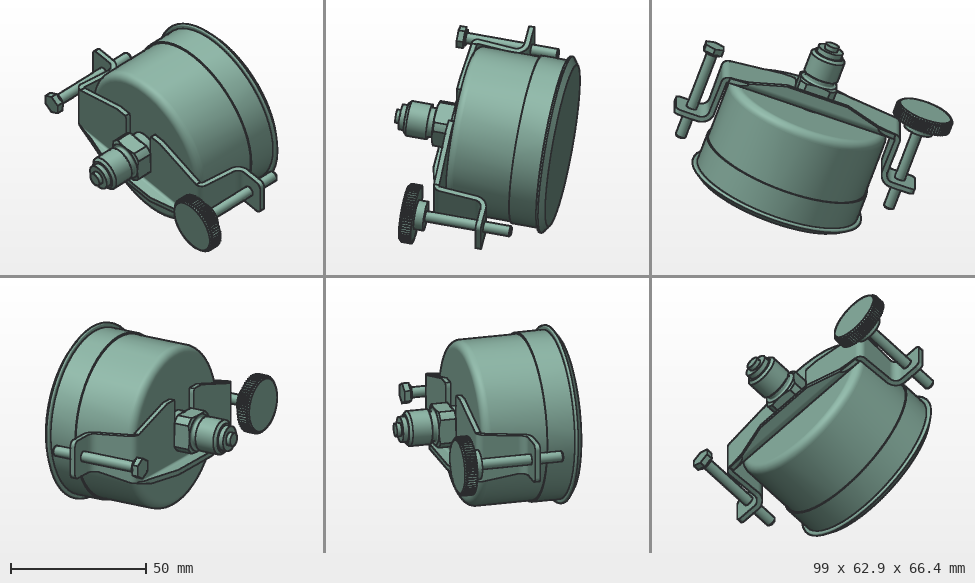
import cadquery as cq
import math


case_radius = 62.0 / 2
ring_radius = 63.2 / 2
bezel_radius = 66.4 / 2
bezel_face_radius = 30.4
bezel_back_round = 0.6
case_back_round = 3.1
ring_back_y = 24.55
bezel_back_y = 35.0
bezel_rim_y = 35.9
face_y = 38.0

collar_radius = 13.5 / 2
square_width = 14.1
square_corner_radius = 8.4
square_chamfer_length = 0.5
groove_radius = 11.0 / 2
groove_round = 0.6
thread_radius = 13.2 / 2
thread_chamfer = 1.1
spigot_radius = 9.5 / 2
tip_radius = 5.0 / 2
square_front_y = -10.1
thread_back_y = -12.4
thread_front_y = -21.1
spigot_front_y = -23.2
tip_front_y = -24.9

sheet = 2.0
plate_front_y = -3.6
plate_back_y = plate_front_y + sheet
leg_outer_x = 35.0
leg_inner_x = leg_outer_x - sheet
corner_inner_radius = 0.5
corner_outer_radius = corner_inner_radius + sheet
plate_end_x = leg_outer_x - corner_outer_radius
tab_end_x = 47.0
tab_back_y = 15.2
tab_front_y = tab_back_y + sheet
tab_bend_radius = 3.0
tab_bend_x = leg_outer_x + tab_bend_radius
tab_bend_y = tab_back_y - tab_bend_radius
tab_corner_radius = 2.0
bracket_axis_z = -1.4
tab_half_height = 7.4
leg_half_height = 9.4
plate_top_z = 13.9
plate_top_half_width = 12.1
slot_half_width = collar_radius
slot_flare = 0.5
slot_flare_depth = 2.0

flange_bend_radius = 1.0
flange_bend_y = plate_front_y - flange_bend_radius
flange_bend_z = -10.3
flange_top_z = flange_bend_z - flange_bend_radius
flange_bottom_z = flange_top_z - sheet
flange_front_y = -8.3
flange_tip_half_width = 12.0
flange_bend_half_width = 25.4

screw_x = 41.0
screw_radius = 4.0 / 2
screw_end_y = 27.5
screw_chamfer = 0.5
washer_face_radius = 6.0 / 2
washer_face_y = -7.3
head_back_y = -7.9
head_front_y = -10.4
head_across_flats = 6.9
hub_radius = 11.0 / 2
hub_back_y = -4.9
knob_radius = 11.0
knob_back_y = -8.3
knob_front_y = -13.0
knob_chamfer = 1.0
knurl_count = 60
knurl_depth = 0.6


def along_y(sketch_plane_y, x=0.0, z=0.0):
    """Workplane normal to Y whose local axes are X and Z, extruding towards -Y."""
    return cq.Workplane("XZ", origin=(x, sketch_plane_y, z))


def rod(radius, start_y, end_y, x=0.0, z=0.0):
    """Cylinder along Y from start_y forward to the lower end_y."""
    return along_y(start_y, x, z).circle(radius).extrude(start_y - end_y)


def make_case():
    """Case, ring and bezel, revolved as one profile of (radius, y) points."""
    return (
        cq.Workplane("XY")
        .moveTo(0, 0)
        .lineTo(case_radius - case_back_round, 0)
        .radiusArc((case_radius, case_back_round), -case_back_round)
        .lineTo(case_radius, ring_back_y)
        .lineTo(ring_radius, ring_back_y)
        .lineTo(ring_radius, bezel_back_y)
        .lineTo(bezel_radius - bezel_back_round, bezel_back_y)
        .radiusArc((bezel_radius, bezel_back_y + bezel_back_round), -bezel_back_round)
        .lineTo(bezel_radius, bezel_rim_y)
        .lineTo(bezel_face_radius, face_y)
        .lineTo(0, face_y)
        .close()
        .revolve(360, (0, 0), (0, 1))
    )


def make_stem():
    """Collar, wrench square, relief groove, threaded length, spigot and tip."""
    collar = rod(collar_radius, 0, plate_front_y)
    square_length = plate_front_y - square_front_y
    corner_rounding = rod(square_corner_radius, plate_front_y, square_front_y)
    corner_depth = square_corner_radius - square_width / 2
    corner_rounding = corner_rounding.faces("<Y").chamfer(square_chamfer_length, corner_depth)
    square = along_y(plate_front_y).rect(square_width, square_width).extrude(square_length)
    square = square.intersect(corner_rounding)
    groove = (
        cq.Workplane("XY")
        .moveTo(0, square_front_y)
        .lineTo(groove_radius + groove_round, square_front_y)
        .radiusArc((groove_radius, square_front_y - groove_round), -groove_round)
        .lineTo(groove_radius, thread_back_y + groove_round)
        .radiusArc((groove_radius + groove_round, thread_back_y), -groove_round)
        .lineTo(0, thread_back_y)
        .close()
        .revolve(360, (0, 0), (0, 1))
    )
    thread = rod(thread_radius, thread_back_y, thread_front_y).faces("<Y").chamfer(thread_chamfer)
    spigot = rod(spigot_radius, thread_front_y, spigot_front_y)
    tip = rod(tip_radius, spigot_front_y, tip_front_y)
    return collar.union(square).union(groove).union(thread).union(spigot).union(tip)


def make_right_strip():
    """Right half of the bent sheet as seen along Z, tall enough to be trimmed later."""
    strip_bottom_z = bracket_axis_z - leg_half_height
    return (
        cq.Workplane("XY", origin=(0, 0, strip_bottom_z))
        .moveTo(0, plate_front_y)
        .lineTo(plate_end_x, plate_front_y)
        .radiusArc((leg_outer_x, plate_front_y + corner_outer_radius), -corner_outer_radius)
        .lineTo(leg_outer_x, tab_bend_y)
        .radiusArc((tab_bend_x, tab_back_y), tab_bend_radius)
        .lineTo(tab_end_x, tab_back_y)
        .lineTo(tab_end_x, tab_front_y)
        .lineTo(tab_bend_x, tab_front_y)
        .radiusArc((leg_inner_x, tab_bend_y), -(tab_bend_radius + sheet))
        .lineTo(leg_inner_x, plate_back_y + corner_inner_radius)
        .radiusArc((plate_end_x, plate_back_y), corner_inner_radius)
        .lineTo(0, plate_back_y)
        .close()
        .extrude(plate_top_z - strip_bottom_z)
    )


def make_right_flange():
    """Right half of the bent lower flange, narrowing towards its ends."""
    bend_outer_radius = flange_bend_radius + sheet
    bent_strip = (
        cq.Workplane("YZ")
        .moveTo(plate_back_y, flange_bend_z)
        .radiusArc((flange_bend_y, flange_bottom_z), bend_outer_radius)
        .lineTo(flange_front_y, flange_bottom_z)
        .lineTo(flange_front_y, flange_top_z)
        .lineTo(flange_bend_y, flange_top_z)
        .radiusArc((plate_front_y, flange_bend_z), -flange_bend_radius)
        .close()
        .extrude(plate_end_x)
    )
    plan = (
        cq.Workplane("XY", origin=(0, 0, flange_bottom_z))
        .polyline([
            (0, plate_back_y),
            (plate_end_x, plate_back_y),
            (plate_end_x, plate_front_y),
            (flange_bend_half_width, flange_bend_y),
            (flange_tip_half_width, flange_front_y),
            (0, flange_front_y),
        ])
        .close()
        .extrude(flange_bend_z - flange_bottom_z)
    )
    elevation = (
        along_y(plate_back_y)
        .polyline([
            (0, flange_bend_z),
            (plate_end_x, flange_bend_z),
            (plate_end_x, flange_top_z),
            (flange_bend_half_width, flange_bottom_z),
            (0, flange_bottom_z),
        ])
        .close()
        .extrude(plate_back_y - flange_front_y)
    )
    return bent_strip.intersect(plan).intersect(elevation)


def make_slot():
    """Round-bottomed slot around the stem whose open mouth flares out along two arcs."""
    mouth_half_width = slot_half_width + slot_flare
    flare_start_z = plate_top_z - slot_flare_depth
    flare_radius = (slot_flare**2 + slot_flare_depth**2) / (2 * slot_flare)
    return (
        along_y(plate_back_y)
        .moveTo(-slot_half_width, 0)
        .lineTo(-slot_half_width, flare_start_z)
        .radiusArc((-mouth_half_width, plate_top_z), -flare_radius)
        .lineTo(mouth_half_width, plate_top_z)
        .radiusArc((slot_half_width, flare_start_z), -flare_radius)
        .lineTo(slot_half_width, 0)
        .radiusArc((-slot_half_width, 0), slot_half_width)
        .close()
        .extrude(sheet)
    )


def make_bracket():
    """Bent sheet bracket with a slot for the stem, sloping edges and a lower flange."""
    leg_outline = (
        cq.Workplane("YZ", origin=(plate_end_x, 0, bracket_axis_z))
        .polyline([
            (tab_front_y, tab_half_height),
            (tab_bend_y, tab_half_height),
            (plate_front_y, leg_half_height),
            (plate_front_y, -leg_half_height),
            (tab_bend_y, -tab_half_height),
            (tab_front_y, -tab_half_height),
        ])
        .close()
        .extrude(tab_end_x - plate_end_x)
    )
    plate_outline = (
        along_y(plate_back_y)
        .polyline([
            (0, flange_bend_z),
            (plate_end_x, flange_bend_z),
            (plate_end_x, bracket_axis_z + leg_half_height),
            (plate_top_half_width, plate_top_z),
            (0, plate_top_z),
        ])
        .close()
        .extrude(sheet)
    )
    right_half = make_right_strip().intersect(leg_outline.union(plate_outline))
    right_half = right_half.edges("|Y and >X").fillet(tab_corner_radius).union(make_right_flange())
    bracket = right_half.union(right_half.mirror("YZ"))

    return bracket.cut(make_slot())


def make_screw(x, head_y):
    """Plain rod from the chamfered free end to the head at head_y."""
    shank = rod(screw_radius, screw_end_y, head_y, x, bracket_axis_z)
    return shank.faces(">Y").chamfer(screw_chamfer)


def make_hex_screw():
    """Left clamping screw with a washer-faced hexagon head."""
    across_corners = head_across_flats / math.cos(math.pi / 6)
    head = (
        along_y(head_back_y, -screw_x, bracket_axis_z)
        .transformed(rotate=(0, 0, 30))
        .polygon(6, across_corners)
        .extrude(head_back_y - head_front_y)
    )
    washer_face = rod(washer_face_radius, washer_face_y, head_back_y, -screw_x, bracket_axis_z)
    return make_screw(-screw_x, washer_face_y).union(washer_face).union(head)


def make_thumb_screw():
    """Right clamping screw with a hub and a knurled knob."""
    hub = rod(hub_radius, hub_back_y, knob_back_y, screw_x, bracket_axis_z)
    knob = rod(knob_radius, knob_back_y, knob_front_y, screw_x, bracket_axis_z)
    knob = knob.faces("<Y").chamfer(knob_chamfer)
    half_pitch = math.pi / knurl_count
    knurl_points = []
    for index in range(2 * knurl_count):
        radius = knob_radius - knurl_depth * (index % 2)
        angle = index * half_pitch
        knurl_points.append((radius * math.cos(angle), radius * math.sin(angle)))
    knurling = (
        along_y(knob_back_y, screw_x, bracket_axis_z)
        .polyline(knurl_points)
        .close()
        .extrude(knob_back_y - knob_front_y)
    )
    knob = knob.intersect(knurling)
    return make_screw(screw_x, hub_back_y).union(hub).union(knob)


result = (
    make_case()
    .union(make_stem())
    .union(make_bracket())
    .union(make_hex_screw())
    .union(make_thumb_screw())
)